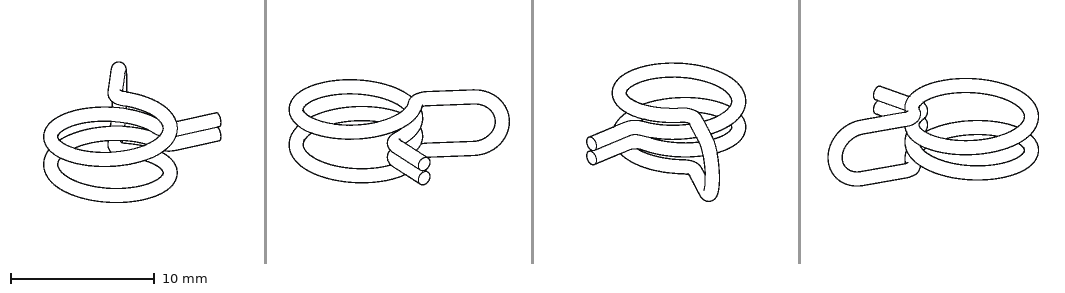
import cadquery as cq
import math

wire_diameter = 1.0
coil_radius = 4.15
bend_radius = 0.9
loop_radius = 2.0
handle_reach = 10.2
free_leg_reach = 8.32
free_leg_gap = 0.1
handle_angle = 120.0
free_leg_angle = 60.0

wire_radius = wire_diameter / 2
handle_z = loop_radius
free_leg_z = (wire_diameter + free_leg_gap) / 2

bend_centre_reach = coil_radius + bend_radius
bend_span = math.degrees(math.asin(bend_radius / bend_centre_reach))
bend_start_reach = math.sqrt(bend_centre_reach**2 - bend_radius**2)

coil_start_angle = free_leg_angle + bend_span
coil_sweep = 360 + handle_angle - bend_span - coil_start_angle
coil_rise = handle_z - free_leg_z
coil_pitch = coil_rise * 360 / coil_sweep


def polar(radius, angle, z):
    """Point at a radius and an angle (degrees) about the Z axis."""
    turn = math.radians(angle)
    return cq.Vector(radius * math.cos(turn), radius * math.sin(turn), z)


def radial(angle):
    """Unit vector pointing away from the Z axis."""
    return polar(1, angle, 0)


def coil_tangent(angle):
    """Unit tangent of the rising coil."""
    slope = cq.Vector(0, 0, coil_pitch / (2 * math.pi * coil_radius))
    return (polar(1, angle + 90, 0) + slope).normalized()


def bend_middle(leg_angle, side, z):
    """Midpoint of a bend lying on the given side (+1 or -1) of its leg."""
    centre = polar(bend_centre_reach, leg_angle + side * bend_span, z)
    towards_middle = leg_angle - side * (270 - bend_span) / 2
    return centre + radial(towards_middle) * bend_radius


def free_leg_path():
    """Straight free leg and the bend leading into the coil."""
    leg_end = polar(free_leg_reach, free_leg_angle, free_leg_z)
    bend_start = polar(bend_start_reach, free_leg_angle, free_leg_z)
    coil_start = polar(coil_radius, coil_start_angle, free_leg_z)
    leg = cq.Edge.makeLine(leg_end, bend_start)
    bend = cq.Edge.makeSpline(
        [bend_start, bend_middle(free_leg_angle, 1, free_leg_z), coil_start],
        tangents=[radial(free_leg_angle) * -1, coil_tangent(coil_start_angle)],
    )
    return [leg, bend]


def coil_path():
    """Helical coil."""
    helix = cq.Wire.makeHelix(coil_pitch, coil_rise, coil_radius)
    helix = helix.rotate(cq.Vector(0, 0, 0), cq.Vector(0, 0, 1), coil_start_angle)
    return helix.translate(cq.Vector(0, 0, free_leg_z)).Edges()


def handle_path():
    """Bend out of the coil, the straight handle leg and the upper half of its U-shaped end."""
    coil_end_angle = handle_angle - bend_span
    loop_centre_reach = handle_reach - loop_radius
    loop_middle_offset = loop_radius * math.sqrt(0.5)
    coil_end = polar(coil_radius, coil_end_angle, handle_z)
    bend_end = polar(bend_start_reach, handle_angle, handle_z)
    loop_start = polar(loop_centre_reach, handle_angle, handle_z)
    loop_middle = polar(loop_centre_reach + loop_middle_offset, handle_angle, loop_middle_offset)
    loop_tip = polar(handle_reach, handle_angle, 0)
    bend = cq.Edge.makeSpline(
        [coil_end, bend_middle(handle_angle, -1, handle_z), bend_end],
        tangents=[coil_tangent(coil_end_angle), radial(handle_angle)],
    )
    leg = cq.Edge.makeLine(bend_end, loop_start)
    loop = cq.Edge.makeThreePointArc(loop_start, loop_middle, loop_tip)
    return [bend, leg, loop]


def make_upper_wire():
    """Upper half of the clamp, a round wire from free leg to handle tip."""
    path = cq.Wire.assembleEdges(free_leg_path() + coil_path() + handle_path())
    section_plane = cq.Plane(
        origin=polar(free_leg_reach, free_leg_angle, free_leg_z),
        xDir=cq.Vector(0, 0, 1),
        normal=radial(free_leg_angle) * -1,
    )
    return cq.Workplane(section_plane).circle(wire_radius).sweep(cq.Workplane(path))


upper_wire = make_upper_wire()
lower_wire = upper_wire.mirror("XY")
result = upper_wire.union(lower_wire)